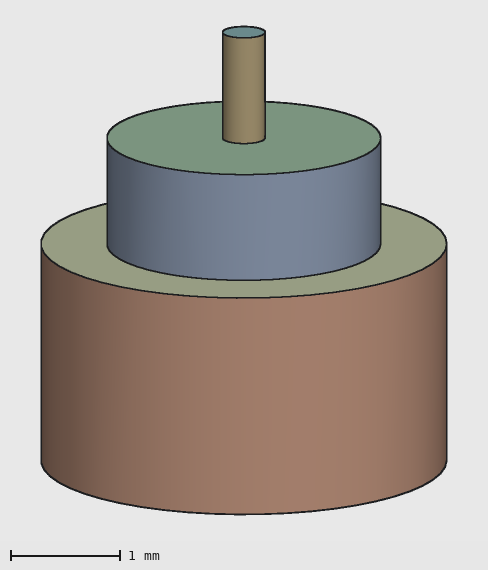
import cadquery as cq

base_diameter = 3.7
collar_diameter = 2.5
pin_diameter = 0.39
total_height = 4.05
collar_height = 1.0
pin_height = 1.0
base_height = total_height - collar_height - pin_height


def add_cylinder(body, diameter, height):
    """Stack a coaxial cylinder on the top face of the body."""
    return body.faces(">Z").workplane().circle(diameter / 2).extrude(height)


result = cq.Workplane("XY").circle(base_diameter / 2).extrude(base_height)

result = add_cylinder(result, collar_diameter, collar_height)

result = add_cylinder(result, pin_diameter, pin_height)